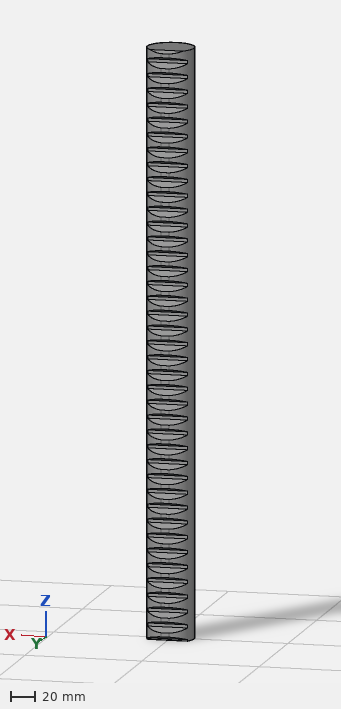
import cadquery as cq
import math

bar_diameter = 40.0
bar_length = 500.0

module = 4.0
pressure_angle = math.radians(20.0)
tip_flat_depth = 0.3
dedendum_factor = 1.25

bar_radius = bar_diameter / 2
tip_y = bar_radius - tip_flat_depth
addendum = module
pitch_line_y = tip_y - addendum
root_y = pitch_line_y - dedendum_factor * module
tooth_pitch = math.pi * module
space_count = math.ceil(bar_length / tooth_pitch)

cutter_overlap = 1.0


def make_bar():
    """Round bar with a narrow flat that forms the tooth tips."""
    bar = cq.Workplane("XY").circle(bar_radius).extrude(bar_length)
    beyond_flat = (
        cq.Workplane("XY")
        .rect(bar_diameter, 2 * tip_flat_depth)
        .extrude(bar_length)
        .translate((0, bar_radius, 0))
    )
    return bar.cut(beyond_flat)


def space_half_width(y):
    """Half the width of a tooth space, measured along Z at height y."""
    return tooth_pitch / 4 + (y - pitch_line_y) * math.tan(pressure_angle)


def make_space_cutter(centre_z):
    """Trapezoidal space between two teeth, running right across the bar in X."""
    outer_y = bar_radius + cutter_overlap
    root_half = space_half_width(root_y)
    outer_half = space_half_width(outer_y)
    profile = [
        (root_y, centre_z - root_half),
        (outer_y, centre_z - outer_half),
        (outer_y, centre_z + outer_half),
        (root_y, centre_z + root_half),
    ]
    return (
        cq.Workplane("YZ")
        .polyline(profile)
        .close()
        .extrude(bar_radius + cutter_overlap, both=True)
    )


def cut_rack(bar):
    for index in range(space_count + 1):
        bar = bar.cut(make_space_cutter(index * tooth_pitch))
    return bar


result = cut_rack(make_bar())